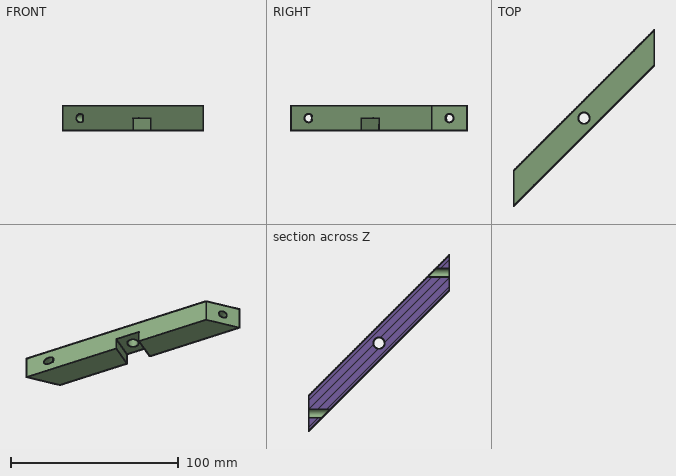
import cadquery as cq
import math

length_x = 84.0
length_y = 105.2
height = 15.0
pivot_diameter = 6.6
end_hole_diameter = 4.9
end_hole_depth = 12.0
drill_tip_angle = 118

bar_angle = 45
end_face_length = length_y - length_x
bar_width = end_face_length * math.cos(math.radians(bar_angle))
half_x = length_x / 2
half_y = length_y / 2


def make_bar():
    corners = [
        (-half_x, -half_y),
        (half_x, half_y - end_face_length),
        (half_x, half_y),
        (-half_x, -half_y + end_face_length),
    ]
    return cq.Workplane("XY").polyline(corners).close().extrude(height)


def make_lap_notch():
    """Half-height crosswise notch, as wide as the bar, open at the bottom."""
    notch_reach = 2 * bar_width
    return (
        cq.Workplane("XY")
        .box(bar_width, notch_reach, height / 2, centered=(True, True, False))
        .rotate((0, 0, 0), (0, 0, 1), bar_angle)
    )


def make_pivot_hole():
    return cq.Workplane("XY").circle(pivot_diameter / 2).extrude(height)


def make_end_hole():
    """Drilled hole along X from the middle of the -X end face, breaking out of the long side."""
    radius = end_hole_diameter / 2
    tip_length = radius / math.tan(math.radians(drill_tip_angle / 2))
    half_profile = [
        (0, 0),
        (0, radius),
        (end_hole_depth, radius),
        (end_hole_depth + tip_length, 0),
    ]
    return (
        cq.Workplane("XY")
        .polyline(half_profile)
        .close()
        .revolve(360, (0, 0, 0), (1, 0, 0))
        .translate((-half_x, -half_y + end_face_length / 2, height / 2))
    )


result = make_bar().cut(make_lap_notch()).cut(make_pivot_hole())

end_hole = make_end_hole()
for turn in (0, 180):
    result = result.cut(end_hole.rotate((0, 0, 0), (0, 0, 1), turn))